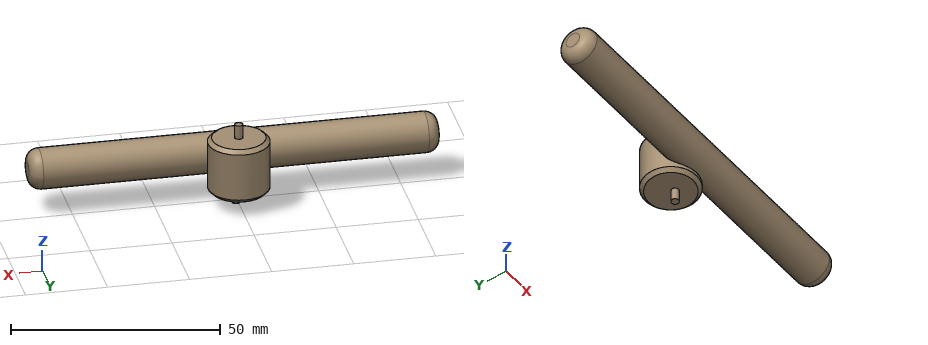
import cadquery as cq

bar_length = 100.0
bar_diameter = 10.0
bar_end_radius = 3.0

hub_diameter = 15.0
hub_height = 14.0
hub_edge_chamfer = 1.0
overall_depth = 20.0
hub_y = overall_depth - bar_diameter / 2 - hub_diameter / 2

pin_diameter = 2.0
pin_length = 3.5
lower_pin_offset_x = 0.5
lower_pin_offset_y = -0.9


def make_bar():
    bar = cq.Workplane("YZ").circle(bar_diameter / 2).extrude(bar_length / 2, both=True)
    return bar.faces("<X or >X").edges().fillet(bar_end_radius)


def make_hub():
    hub = cq.Workplane("XY", origin=(0, hub_y, -hub_height / 2)).circle(hub_diameter / 2)
    hub = hub.extrude(hub_height)
    return hub.faces("<Z or >Z").edges().chamfer(hub_edge_chamfer)


def make_pin(x, y, direction):
    """Pin from the hub's mid-plane out past its face; direction is +1 up, -1 down."""
    reach = hub_height / 2 + pin_length
    return cq.Workplane("XY").center(x, y).circle(pin_diameter / 2).extrude(direction * reach)


upper_pin = make_pin(0, hub_y, 1)
lower_pin = make_pin(lower_pin_offset_x, hub_y + lower_pin_offset_y, -1)
result = make_bar().union(make_hub()).union(upper_pin).union(lower_pin)